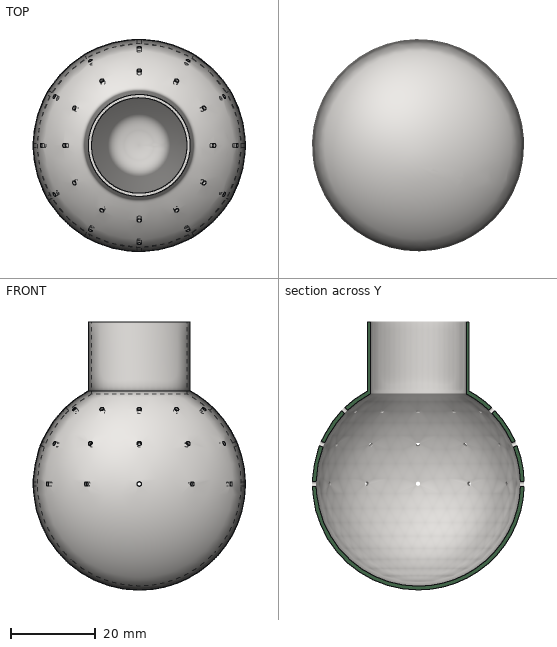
import cadquery as cq
import math

ball_diameter = 50.0
ball_wall = 1.0
neck_outer_diameter = 24.0
neck_inner_diameter = 22.5
neck_top_z = 38.2

hole_diameter = 1.0
holes_per_ring = 12
ring_count = 3
ring_latitude_step = 22.5

ball_radius = ball_diameter / 2
cavity_radius = ball_radius - ball_wall
longitude_step = 360 / holes_per_ring

cutter_overshoot = ball_wall
cutter_length = ball_wall + 2 * cutter_overshoot


def make_shell():
    """Ball and neck joined outside, then hollowed by the cavity and the neck bore."""
    ball = cq.Workplane("XY").sphere(ball_radius)
    neck = cq.Workplane("XY").circle(neck_outer_diameter / 2).extrude(neck_top_z)
    cavity = cq.Workplane("XY").sphere(cavity_radius)
    bore = cq.Workplane("XY").circle(neck_inner_diameter / 2).extrude(neck_top_z)
    return ball.union(neck).cut(cavity).cut(bore)


def spray_hole(latitude, longitude):
    """Cylinder through the ball wall, pointing away from the centre; angles in degrees."""
    lat = math.radians(latitude)
    lon = math.radians(longitude)
    direction = cq.Vector(
        math.cos(lat) * math.cos(lon),
        math.cos(lat) * math.sin(lon),
        math.sin(lat),
    )
    start = direction * (cavity_radius - cutter_overshoot)
    return cq.Solid.makeCylinder(hole_diameter / 2, cutter_length, start, direction)


def make_spray_holes():
    """All the hole cutters, ring by ring."""
    holes = []
    for ring in range(ring_count):
        for index in range(holes_per_ring):
            holes.append(spray_hole(ring * ring_latitude_step, index * longitude_step))
    return cq.Workplane(obj=cq.Compound.makeCompound(holes))


result = make_shell().cut(make_spray_holes())